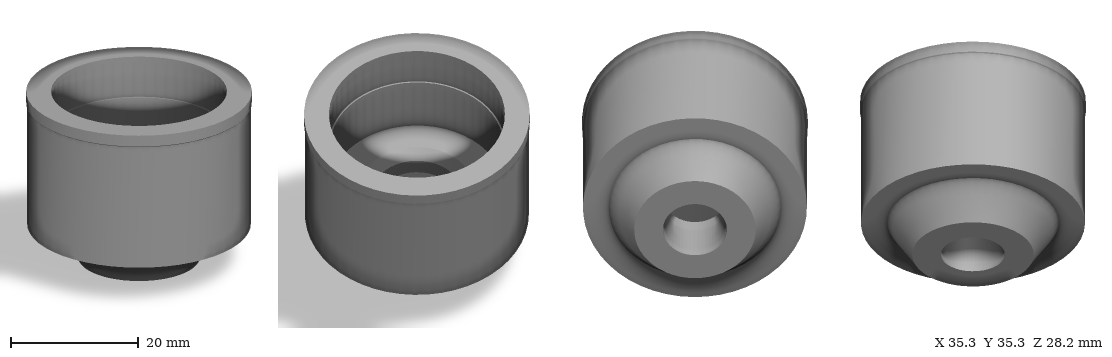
import cadquery as cq

total_height = 28.2
nose_height = 5.7
flange_height = 1.85

flange_radius = 17.65
body_radius = 17.5
nose_root_radius = 13.45
nose_tip_radius = 9.5
nose_flank_hollow = 0.12

bore_radius = 13.75
lower_bore_radius = 13.5
upper_bore_depth = 6.8
bore_depth = 16.5

funnel_top_radius = 8.8
funnel_waist_radius = 6.9
seat_radius = 6.35
hole_radius = 5.0
funnel_depth = 1.1
throat_depth = 2.0

flange_bottom_z = total_height - flange_height
body_top_z = flange_bottom_z - (flange_radius - body_radius)
bore_step_z = total_height - upper_bore_depth
bore_floor_z = total_height - bore_depth
waist_z = bore_floor_z - funnel_depth
seat_z = waist_z - throat_depth


def revolve_about_z(half_profile):
    """Turn a closed radius/height profile into a solid about the Z axis."""
    return half_profile.revolve(360, (0, 0, 0), (0, 1, 0))


def make_outside():
    """Flanged body with a concave, tapering nose below it."""
    flank_run = nose_root_radius - nose_tip_radius
    flank_length = (flank_run**2 + nose_height**2) ** 0.5
    chord_mid_radius = (nose_root_radius + nose_tip_radius) / 2
    flank_mid_radius = chord_mid_radius - nose_flank_hollow * nose_height / flank_length
    flank_mid_z = nose_height / 2 + nose_flank_hollow * flank_run / flank_length
    profile = (
        cq.Workplane("XZ")
        .lineTo(nose_tip_radius, 0)
        .threePointArc((flank_mid_radius, flank_mid_z), (nose_root_radius, nose_height))
        .lineTo(body_radius, nose_height)
        .lineTo(body_radius, body_top_z)
        .lineTo(flange_radius, flange_bottom_z)
        .lineTo(flange_radius, total_height)
        .lineTo(0, total_height)
        .close()
    )
    return revolve_about_z(profile)


def make_cavity():
    """Stepped bore, funnel and through hole as one turned cutter."""
    profile = (
        cq.Workplane("XZ")
        .lineTo(hole_radius, 0)
        .lineTo(hole_radius, seat_z)
        .lineTo(seat_radius, seat_z)
        .lineTo(funnel_waist_radius, waist_z)
        .lineTo(funnel_top_radius, bore_floor_z)
        .lineTo(lower_bore_radius, bore_floor_z)
        .lineTo(lower_bore_radius, bore_step_z)
        .lineTo(bore_radius, bore_step_z)
        .lineTo(bore_radius, total_height)
        .lineTo(0, total_height)
        .close()
    )
    return revolve_about_z(profile)


result = make_outside().cut(make_cavity())